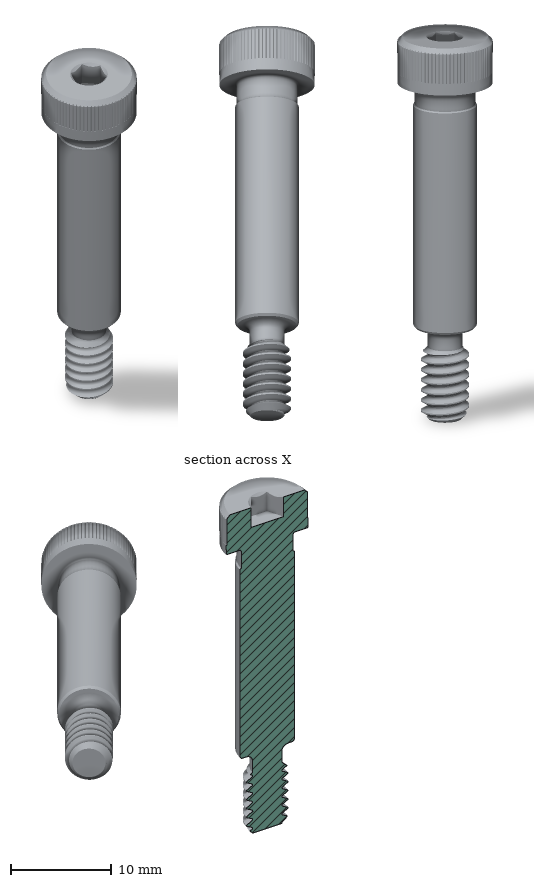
import cadquery as cq
import math


head_diameter = 9.525
head_radius = head_diameter / 2
head_height = 4.7625
head_chamfer = 0.48
plain_band_height = 1.2
knurl_count = 80
knurl_depth = 0.1
knurl_width = 0.12

socket_across_flats = 3.175
socket_depth = 2.4
socket_mouth_diameter = 3.75
socket_mouth_angle = 45

shoulder_length = 25.4
shoulder_radius = 6.35 / 2
shoulder_end_chamfer_height = 0.25
shoulder_end_chamfer_width = 0.2
shoulder_start_chamfer = 0.12
head_neck_length = 2.2
head_neck_radius = 6.06 / 2
head_neck_fillet = 0.18

inch = 25.4
threads_per_inch = 24
pitch = inch / threads_per_inch
thread_radius = 4.826 / 2
thread_length = 9.525
thread_root_radius = 3.45 / 2
thread_neck_length = 2.06
thread_neck_fillet = 0.7
tip_radius = 1.65
crest_width = pitch / 8
flank_angle = 30
crest_height_above_tip = 0.855 * pitch
ridge_run_out = 2 * pitch
ridge_overlap = 0.05

shoulder_end_z = -shoulder_length
tip_z = shoulder_end_z - thread_length
thread_start_z = shoulder_end_z - thread_neck_length


def turn(profile):
    """Revolve a closed profile, drawn in radius and height, around the Z axis."""
    return profile.revolve(360, (0, 0, 0), (0, 1, 0))


def make_head():
    """Cylinder with a chamfered top edge and straight knurling above a plain band."""
    plain_head = cq.Workplane("XY").circle(head_radius).extrude(head_height)
    plain_head = plain_head.faces(">Z").edges().chamfer(head_chamfer)
    plain_band = cq.Workplane("XY").circle(head_radius).extrude(plain_band_height)
    knurled = knurl_outline().extrude(head_height - plain_band_height)
    return plain_head.intersect(plain_band.union(knurled))


def polar_point(radius, angle):
    return (radius * math.cos(angle), radius * math.sin(angle))


def knurl_outline():
    """Circle with evenly spaced V-notches, one of them on the +X axis."""
    step = 2 * math.pi / knurl_count
    half_notch = math.asin(knurl_width / 2 / head_radius)
    outline = cq.Workplane("XY").workplane(offset=plain_band_height)
    outline = outline.moveTo(*polar_point(head_radius, -half_notch))
    for index in range(knurl_count):
        angle = index * step
        outline = outline.lineTo(*polar_point(head_radius - knurl_depth, angle))
        outline = outline.lineTo(*polar_point(head_radius, angle + half_notch))
        outline = outline.threePointArc(
            polar_point(head_radius, angle + step / 2),
            polar_point(head_radius, angle + step - half_notch),
        )
    return outline.close()


def make_socket():
    """Hexagonal pocket with a conical lead-in at its mouth."""
    across_corners = socket_across_flats / math.cos(math.pi / 6)
    hexagon = (
        cq.Workplane("XY")
        .workplane(offset=head_height)
        .transformed(rotate=(0, 0, 90))
        .polygon(6, across_corners)
        .extrude(-socket_depth)
    )
    mouth_radius = socket_mouth_diameter / 2
    cone_depth = mouth_radius / math.tan(math.radians(socket_mouth_angle))
    lead_in = (
        cq.Workplane("XZ")
        .moveTo(0, head_height)
        .lineTo(mouth_radius, head_height)
        .lineTo(0, head_height - cone_depth)
        .close()
    )
    return hexagon.union(turn(lead_in))


def make_shank():
    """Turned body below the head: neck, shoulder, thread neck and thread core down to the tip."""
    arc_middle = 1 - math.cos(math.pi / 4)
    neck_arc_offset = head_neck_fillet * arc_middle
    thread_arc_offset = thread_neck_fillet * arc_middle
    chamfer_inner_radius = shoulder_radius - shoulder_end_chamfer_width
    profile = (
        cq.Workplane("XZ")
        .lineTo(head_neck_radius + head_neck_fillet, 0)
        .threePointArc(
            (head_neck_radius + neck_arc_offset, -neck_arc_offset),
            (head_neck_radius, -head_neck_fillet),
        )
        .lineTo(head_neck_radius, -head_neck_length)
        .lineTo(shoulder_radius, -head_neck_length - shoulder_start_chamfer)
        .lineTo(shoulder_radius, shoulder_end_z + shoulder_end_chamfer_height)
        .lineTo(chamfer_inner_radius, shoulder_end_z)
        .lineTo(thread_root_radius + thread_neck_fillet, shoulder_end_z)
        .threePointArc(
            (thread_root_radius + thread_arc_offset, shoulder_end_z - thread_arc_offset),
            (thread_root_radius, shoulder_end_z - thread_neck_fillet),
        )
        .lineTo(thread_root_radius, tip_z + thread_root_radius - tip_radius)
        .lineTo(tip_radius, tip_z)
        .lineTo(0, tip_z)
        .close()
    )
    return turn(profile)


def make_end_trim(start_radius, start_z, direction):
    """Solid beyond a 45 degree cone that widens from start_radius at start_z towards the thread.

    The direction is 1 for a solid above the thread and -1 for one below it.
    """
    trim_radius = thread_radius + pitch
    trim_length = 2 * ridge_run_out
    profile = (
        cq.Workplane("XZ")
        .moveTo(0, start_z)
        .lineTo(start_radius, start_z)
        .lineTo(trim_radius, start_z - direction * (trim_radius - start_radius))
        .lineTo(trim_radius, start_z + direction * trim_length)
        .lineTo(0, start_z + direction * trim_length)
        .close()
    )
    return turn(profile)


def make_thread_ridge():
    """Right-handed ridge that runs past both ends of the thread and is trimmed to a cone at each end."""
    helix_height = thread_length - thread_neck_length + 2 * ridge_run_out
    start_z = tip_z + crest_height_above_tip - ridge_run_out
    base_radius = thread_root_radius - ridge_overlap
    slope = math.tan(math.radians(flank_angle))
    half_crest = crest_width / 2
    half_base = half_crest + (thread_radius - base_radius) * slope
    helix = cq.Wire.makeHelix(pitch, helix_height, base_radius, cq.Vector(0, 0, start_z))
    ridge = (
        cq.Workplane("XZ")
        .moveTo(base_radius, start_z - half_base)
        .lineTo(thread_radius, start_z - half_crest)
        .lineTo(thread_radius, start_z + half_crest)
        .lineTo(base_radius, start_z + half_base)
        .close()
        .sweep(cq.Workplane(obj=helix), isFrenet=True)
    )
    ridge = ridge.cut(make_end_trim(thread_root_radius, thread_start_z, direction=1))
    return ridge.cut(make_end_trim(tip_radius, tip_z, direction=-1))


body = make_head().union(make_shank()).union(make_thread_ridge())
result = body.cut(make_socket())